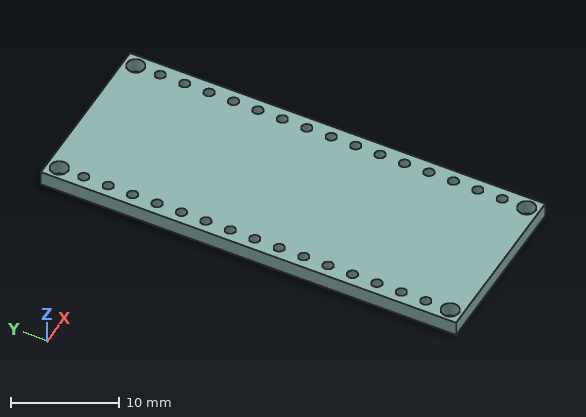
import cadquery as cq

width = 17.8
length = 43.2
thickness = 1.6

pin_diameter = 1.05
mount_diameter = 1.75
row_spacing = 15.25
mount_spacing = 40.65
pins_per_row = 15
pin_pitch = mount_spacing / (pins_per_row + 1)


def drill_grid(board, y_spacing, y_count, diameter):
    """Drill through holes along both long edges, centred on the board."""
    return (
        board.faces(">Z")
        .workplane(origin=(0, 0, 0))
        .rarray(row_spacing, y_spacing, 2, y_count)
        .hole(diameter)
    )


board = cq.Workplane("XY").box(width, length, thickness)
board = drill_grid(board, pin_pitch, pins_per_row, pin_diameter)
result = drill_grid(board, mount_spacing, 2, mount_diameter)